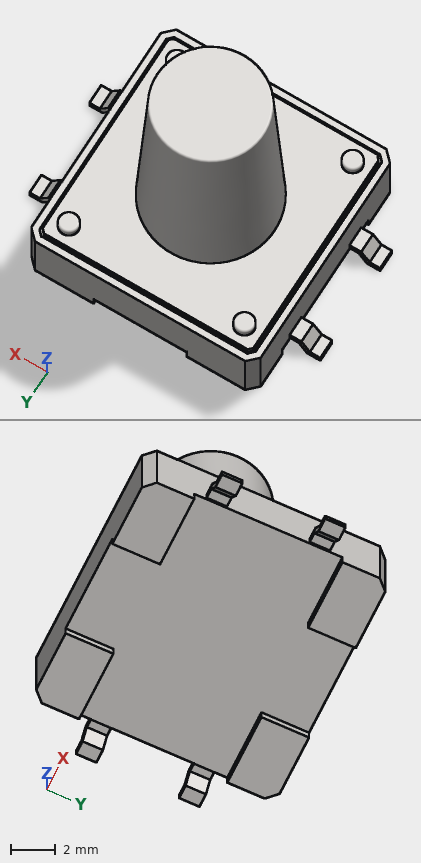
import cadquery as cq

BODY_SIDE = 12.0
BODY_HEIGHT = 3.36
BODY_CHAMFER = 0.5
CHANNEL_HEIGHT = 0.5
CHANNEL_ALONG_Y_WIDTH = 4.86
CHANNEL_ALONG_X_WIDTH = 7.3

GROOVE_INSET = 0.36
GROOVE_WIDTH = 0.12
GROOVE_DEPTH = 0.15
GROOVE_CHAMFER = 0.25
PLATE_SIDE = BODY_SIDE - 2 * (GROOVE_INSET + GROOVE_WIDTH)
PLATE_TOP = 3.51
PLATE_CHAMFER = 0.2

TOTAL_HEIGHT = 14.0
BUTTON_BASE_DIAMETER = 6.69
BUTTON_TOP_DIAMETER = 5.6
BUTTON_EDGE = 0.1

RIVET_DIAMETER = 1.0
RIVET_OFFSET = 4.59
RIVET_TOP = 3.9
RIVET_EDGE = 0.1

LEAD_SPAN = 15.2
LEAD_WIDTH = 1.0
LEAD_PITCH = 5.08
LEAD_THICKNESS = 0.3
LEAD_TOP = 0.95
LEAD_FOOT = 0.55
LEAD_SLOPE_RUN = 0.44
LEAD_BEND_SHIFT = 0.14
LEAD_EMBED = 0.15


def chamfered_square(side, chamfer, bottom, top):
    """Square block with its four vertical edges chamfered."""
    block = cq.Workplane("XY").workplane(offset=bottom).rect(side, side).extrude(top - bottom)
    return block.edges("|Z").chamfer(chamfer)


def make_body():
    """Housing with two crossing channels underneath and a cover plate on top."""
    body = chamfered_square(BODY_SIDE, BODY_CHAMFER, 0, BODY_HEIGHT)
    channels = [(CHANNEL_ALONG_Y_WIDTH, BODY_SIDE), (BODY_SIDE, CHANNEL_ALONG_X_WIDTH)]
    for x_size, y_size in channels:
        body = body.cut(cq.Workplane("XY").rect(x_size, y_size).extrude(CHANNEL_HEIGHT))

    groove_bottom = BODY_HEIGHT - GROOVE_DEPTH
    groove_side = BODY_SIDE - 2 * GROOVE_INSET
    recess = chamfered_square(groove_side, GROOVE_CHAMFER, groove_bottom, BODY_HEIGHT)
    plate = chamfered_square(PLATE_SIDE, PLATE_CHAMFER, groove_bottom, PLATE_TOP)
    return body.cut(recess).union(plate)


def make_button():
    """Tapered round button with a slightly rounded top edge."""
    base_radius = BUTTON_BASE_DIAMETER / 2
    top_radius = BUTTON_TOP_DIAMETER / 2
    profile = (
        cq.Workplane("XZ")
        .moveTo(0, PLATE_TOP)
        .lineTo(base_radius, PLATE_TOP)
        .lineTo(top_radius, TOTAL_HEIGHT)
        .lineTo(0, TOTAL_HEIGHT)
        .close()
    )
    button = profile.revolve(360, (0, 0, 0), (0, 1, 0))
    return button.faces(">Z").edges().fillet(BUTTON_EDGE)


def make_rivets():
    """Four round heads with rounded rims, one near each plate corner."""
    return (
        cq.Workplane("XY")
        .workplane(offset=PLATE_TOP)
        .rect(2 * RIVET_OFFSET, 2 * RIVET_OFFSET, forConstruction=True)
        .vertices()
        .circle(RIVET_DIAMETER / 2)
        .extrude(RIVET_TOP - PLATE_TOP)
        .faces(">Z")
        .edges()
        .fillet(RIVET_EDGE)
    )


def make_lead(y_center):
    """Lead on the +X side: out of the housing, down a slope, then a flat foot."""
    tip = LEAD_SPAN / 2
    root = BODY_SIDE / 2 - LEAD_EMBED
    lower_bend = tip - LEAD_FOOT
    upper_bend = lower_bend - LEAD_SLOPE_RUN
    outline = [
        (root, LEAD_TOP),
        (upper_bend, LEAD_TOP),
        (lower_bend, LEAD_THICKNESS),
        (tip, LEAD_THICKNESS),
        (tip, 0),
        (lower_bend - LEAD_BEND_SHIFT, 0),
        (upper_bend - LEAD_BEND_SHIFT, LEAD_TOP - LEAD_THICKNESS),
        (root, LEAD_TOP - LEAD_THICKNESS),
    ]
    lead = cq.Workplane("XZ").polyline(outline).close().extrude(LEAD_WIDTH / 2, both=True)
    return lead.translate((0, y_center, 0))


result = make_body().union(make_button()).union(make_rivets())
for y_center in (-LEAD_PITCH / 2, LEAD_PITCH / 2):
    lead = make_lead(y_center)
    result = result.union(lead).union(lead.mirror("YZ"))